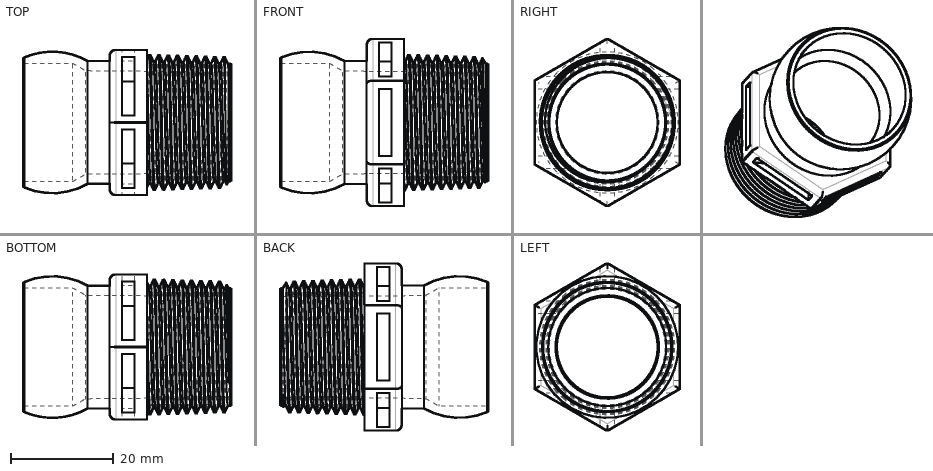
import cadquery as cq
import math

length = 40.7
hex_start = 16.9
hex_end = 24.25

ball_radius = 13.88
ball_center = 5.7
neck_radius = 12.05
mouth_chamfer = 0.25

mouth_bore_radius = 11.55
bore_start_radius = 10.15
bore_end_radius = 9.85
mouth_bore_depth = 9.7
bore_cone_length = 2.52

across_flats = 28.45
hex_front_fillet = 1.22
hex_corner_diameter = 32.75

pocket_start = 19.33
pocket_width = 2.45
pocket_length = 13.2

thread_span = 18.23
thread_taper = math.atan(1 / 32)
thread_turns = 10
thread_pitch = thread_span / thread_turns
thread_start = 23.35
runout_start = 39.43
thread_limit = 40.15
root_radius = 12.05
thread_height = 1.22
ridge_base = 1.55
ridge_crest = 0.25
ridge_embed = 0.15
end_chamfer = 0.2


def x_cylinder(radius, start, end):
    return cq.Workplane("YZ").workplane(offset=start).circle(radius).extrude(end - start)


def root_radius_at(x):
    return root_radius - (x - hex_end) * math.tan(thread_taper)


def make_body():
    """Ball, neck and tapered thread core turned about X."""
    face_radius = math.sqrt(ball_radius**2 - (ball_center - mouth_chamfer) ** 2)
    ball_end = ball_center + math.sqrt(ball_radius**2 - neck_radius**2)
    end_radius = root_radius_at(length)
    return (
        cq.Workplane("XY")
        .lineTo(0, face_radius - mouth_chamfer)
        .lineTo(mouth_chamfer, face_radius)
        .threePointArc((ball_center, ball_radius), (ball_end, neck_radius))
        .lineTo(hex_end, root_radius)
        .lineTo(length - end_chamfer, end_radius)
        .lineTo(length, end_radius - end_chamfer)
        .lineTo(length, 0)
        .close()
        .revolve(360, (0, 0, 0), (1, 0, 0))
    )


def make_collar():
    """Hexagon with flats facing +Y and -Y, rounded on the ball side."""
    corner_diameter = across_flats / math.cos(math.pi / 6)
    hexagon = (
        cq.Workplane("YZ")
        .workplane(offset=hex_start)
        .transformed(rotate=(0, 0, 90))
        .polygon(6, corner_diameter)
        .extrude(hex_end - hex_start)
        .faces("<X")
        .edges()
        .fillet(hex_front_fillet)
    )
    return hexagon.intersect(x_cylinder(hex_corner_diameter / 2, hex_start, hex_end))


def make_pockets():
    """Six pockets with walls along Y or Z and a round floor on the neck radius."""
    half_length = pocket_length / 2
    apothem = across_flats / 2
    tilt = math.radians(60)
    inner_wall_y = apothem * math.cos(tilt) - half_length * math.sin(tilt)
    outer_wall_z = apothem * math.sin(tilt) - half_length * math.cos(tilt)
    reach = across_flats

    def block(y_size, z_size):
        return cq.Workplane("XY").box(pocket_width, y_size, z_size, centered=(False, False, False))

    pockets = block(2 * reach, pocket_length).translate((pocket_start, -reach, -half_length))
    corner = block(reach, reach).translate((pocket_start, inner_wall_y, outer_wall_z))
    upper_pair = corner.union(corner.mirror("XZ"))
    pockets = pockets.union(upper_pair).union(upper_pair.mirror("XY"))
    return pockets.cut(x_cylinder(neck_radius, hex_start, hex_end))


def make_thread_envelope():
    """Turned blank with a conical end where the ridge runs out to the thread root."""
    blank_radius = root_radius + thread_height + ridge_embed
    full_crest_radius = root_radius_at(runout_start) + thread_height
    return (
        cq.Workplane("XY")
        .moveTo(hex_start, 0)
        .lineTo(hex_start, blank_radius)
        .lineTo(hex_end, blank_radius)
        .lineTo(runout_start, full_crest_radius)
        .lineTo(thread_limit, root_radius_at(thread_limit))
        .lineTo(thread_limit, 0)
        .close()
        .revolve(360, (0, 0, 0), (1, 0, 0))
    )


def make_thread():
    """Conical helical ridge, starting on the +Z side inside the collar."""
    start_radius = root_radius_at(thread_start) - ridge_embed
    helix = cq.Wire.makeHelix(
        thread_pitch, thread_span, start_radius, angle=-math.degrees(thread_taper)
    )
    crest_radius = start_radius + ridge_embed + thread_height
    ridge = (
        cq.Workplane("XZ")
        .moveTo(start_radius, -ridge_base / 2)
        .lineTo(crest_radius, -ridge_crest / 2)
        .lineTo(crest_radius, ridge_crest / 2)
        .lineTo(start_radius, ridge_base / 2)
        .close()
        .sweep(cq.Workplane(helix), isFrenet=True)
    )
    ridge = ridge.rotate((0, 0, 0), (0, 1, 0), 90)
    ridge = ridge.rotate((0, 0, 0), (1, 0, 0), 180)
    ridge = ridge.translate((thread_start, 0, 0))
    return ridge.intersect(make_thread_envelope())


def make_bore():
    cone_end = mouth_bore_depth + bore_cone_length
    return (
        cq.Workplane("XY")
        .lineTo(0, mouth_bore_radius)
        .lineTo(mouth_bore_depth, mouth_bore_radius)
        .lineTo(cone_end, bore_start_radius)
        .lineTo(length, bore_end_radius)
        .lineTo(length, 0)
        .close()
        .revolve(360, (0, 0, 0), (1, 0, 0))
    )


collar = make_collar().cut(make_pockets())
result = make_body().union(make_thread()).union(collar).cut(make_bore())